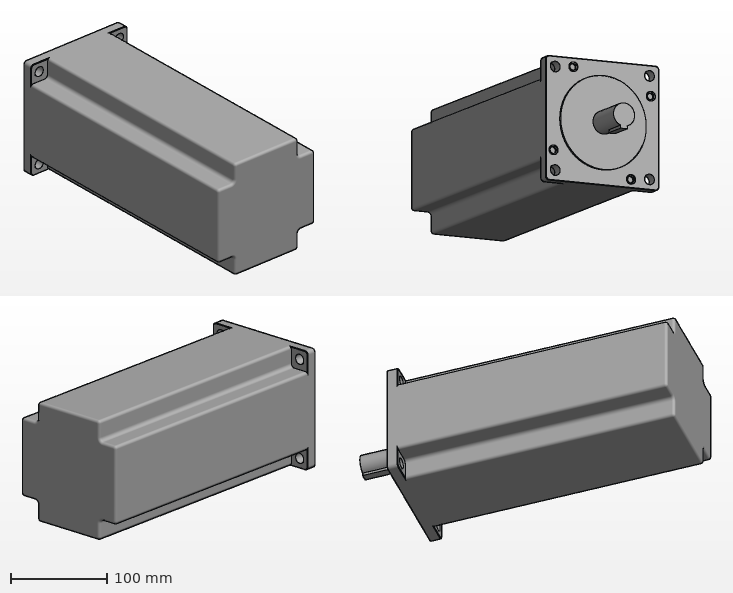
import cadquery as cq

total_length = 361.0
shaft_length = 47.3
flange_front = 49.8
flange_thickness = 12.3

side = 132.0
half_side = side / 2
flange_corner_radius = 4.5
flange_chamfer = 0.7
pocket_depth = 22.7
pocket_inner_radius = 4.5
housing_edge_radius = 3.2
rear_edge_radius = 3.07

pilot_diameter = 99.5
shaft_diameter = 24.5
key_width = 8.0
key_length = 29.5
key_bottom = 14.8

mount_hole_diameter = 11.2
mount_hole_offset = 55.0
screw_counterbore_diameter = 10.0
screw_hole_diameter = 7.2
screw_counterbore_depth = 1.0
screw_hole_depth = 3.5
screw_offset_far = 56.5
screw_offset_near = 33.5


def section(x):
    """Workplane across the motor axis: local x is +Y, local y is +Z."""
    return cq.Workplane("YZ", origin=(x, 0, 0))


def round_bar(x, diameter, length):
    return section(x).circle(diameter / 2).extrude(length)


def make_flange():
    plate = section(flange_front).rect(side, side).extrude(flange_thickness)
    plate = plate.edges("|X").fillet(flange_corner_radius)
    return plate.faces("<X or >X").edges().chamfer(flange_chamfer)


def make_housing():
    """Square column with a rectangular relief along each of its four corners.

    It starts halfway into the flange, so the flush sides run on without a groove at the chamfer.
    """
    start = flange_front + flange_thickness / 2
    length = total_length - start
    core_side = side - 2 * pocket_depth
    column = section(start).rect(side, core_side).extrude(length)
    column = column.union(section(start).rect(core_side, side).extrude(length))

    corner = core_side / 2
    tolerance = 0.5
    inner_edges = cq.selectors.BoxSelector(
        (0, -corner - tolerance, -corner - tolerance),
        (total_length, corner + tolerance, corner + tolerance),
    )
    column = column.edges("|X").edges(inner_edges).fillet(pocket_inner_radius)

    outer_edges = cq.selectors.BoxSelector(
        (0, -corner - tolerance, -half_side - tolerance),
        (total_length, corner + tolerance, -half_side + tolerance),
    )
    for quarter_turn in range(4):
        column = column.edges("|X").edges(outer_edges).fillet(housing_edge_radius)
        column = column.rotate((0, 0, 0), (1, 0, 0), 90)
    return column.faces(">X").edges().fillet(rear_edge_radius)


def make_shaft_with_key():
    """Shaft with a key on its underside, square at the tip and round at the inner end."""
    shaft = round_bar(0, shaft_diameter, flange_front)
    half_width = key_width / 2
    straight_length = key_length - half_width
    key = (
        cq.Workplane("XY")
        .moveTo(0, -half_width)
        .lineTo(straight_length, -half_width)
        .threePointArc((key_length, 0), (straight_length, half_width))
        .lineTo(0, half_width)
        .close()
        .extrude(-key_bottom)
    )
    return shaft.union(key)


def make_mount_holes():
    spacing = 2 * mount_hole_offset
    return (
        section(flange_front)
        .rarray(spacing, spacing, 2, 2)
        .circle(mount_hole_diameter / 2)
        .extrude(flange_thickness)
    )


def make_screw_holes():
    """Four shallow counterbored holes in the flange face, one per quarter turn about the axis."""
    hole = round_bar(flange_front, screw_counterbore_diameter, screw_counterbore_depth)
    hole = hole.union(round_bar(flange_front, screw_hole_diameter, screw_hole_depth))
    hole = hole.translate((0, screw_offset_near, screw_offset_far))
    holes = hole
    for quarter_turn in range(1, 4):
        holes = holes.union(hole.rotate((0, 0, 0), (1, 0, 0), 90 * quarter_turn))
    return holes


pilot = round_bar(shaft_length, pilot_diameter, flange_front - shaft_length)
result = make_flange().union(make_housing()).union(pilot).union(make_shaft_with_key())
result = result.cut(make_mount_holes()).cut(make_screw_holes())